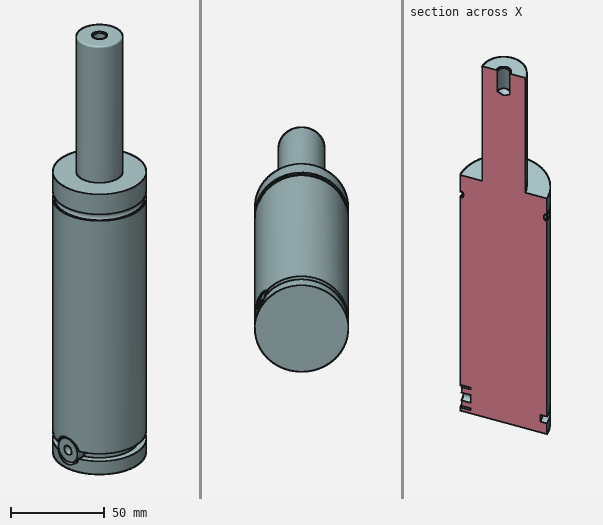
import cadquery as cq

total_height = 255.0
body_diameter = 50.0
rod_diameter = 25.0
body_height = 171.5
rod_edge_radius = 1.0

head_height = 12.2
wire_groove_width = 4.0
wire_groove_wall_depth = 1.0
wire_groove_depth = 1.8

base_height = 8.2
base_groove_width = 4.5
base_groove_depth = 3.8

rod_hole_diameter = 7.0
rod_hole_depth = 15.3
rod_hole_mouth_diameter = 8.2

plug_height = 10.7
plug_diameter = 14.0
plug_seat_diameter = 16.0
plug_face_distance = 24.2
plug_seat_distance = 18.9
plug_hole_diameter = 5.4
plug_hole_depth = 5.0
plug_root_distance = 15.3

body_radius = body_diameter / 2


def make_body_and_rod():
    """Cylinder body with its rod, rounded at the free end."""
    body = cq.Workplane("XY").circle(body_radius).extrude(body_height)
    rod = cq.Workplane("XY").circle(rod_diameter / 2).extrude(total_height)
    return body.union(rod.faces(">Z").fillet(rod_edge_radius))


def make_wire_groove():
    """Ring with short flat walls and an arched floor, open to the outside."""
    top = body_height - head_height
    bottom = top - wire_groove_width
    wall_end_radius = body_radius - wire_groove_wall_depth
    floor_radius = body_radius - wire_groove_depth
    section = (
        cq.Workplane("XZ")
        .moveTo(body_radius, top)
        .lineTo(wall_end_radius, top)
        .threePointArc((floor_radius, (top + bottom) / 2), (wall_end_radius, bottom))
        .lineTo(body_radius, bottom)
        .close()
    )
    return section.revolve(360, (0, 0), (0, 1))


def make_base_groove():
    """Ring of rectangular section open to the outside."""
    plane = cq.Workplane("XY").workplane(offset=base_height)
    floor_radius = body_radius - base_groove_depth
    return plane.circle(body_radius).circle(floor_radius).extrude(base_groove_width)


def make_rod_hole():
    """Blind hole in the rod end with a 45 degree countersink."""
    hole_radius = rod_hole_diameter / 2
    mouth_radius = rod_hole_mouth_diameter / 2
    countersink_depth = mouth_radius - hole_radius
    drill_tip_depth = hole_radius / 2
    profile = (
        cq.Workplane("XZ")
        .moveTo(0, total_height)
        .lineTo(mouth_radius, total_height)
        .lineTo(hole_radius, total_height - countersink_depth)
        .lineTo(hole_radius, total_height - rod_hole_depth)
        .lineTo(0, total_height - rod_hole_depth - drill_tip_depth)
        .close()
    )
    return profile.revolve(360, (0, 0), (0, 1))


def side_cylinder(diameter, inner_distance, outer_distance):
    """Cylinder along -Y at plug height, between two distances from the body axis."""
    plane = cq.Workplane("XZ", origin=(0, -inner_distance, plug_height))
    return plane.circle(diameter / 2).extrude(outer_distance - inner_distance)


seat = side_cylinder(plug_seat_diameter, plug_seat_distance, body_radius)
plug = side_cylinder(plug_diameter, plug_root_distance, plug_face_distance)
plug_hole = side_cylinder(plug_hole_diameter, plug_face_distance - plug_hole_depth, plug_face_distance)

result = (
    make_body_and_rod()
    .cut(make_wire_groove())
    .cut(make_base_groove())
    .cut(make_rod_hole())
    .cut(seat)
    .union(plug)
    .cut(plug_hole)
)